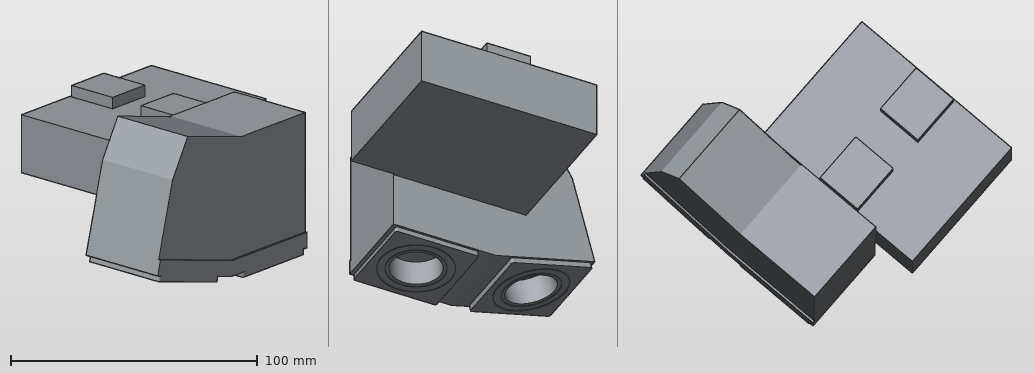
import cadquery as cq
import math

TILT = 15.0
HEAD_LEFT = 62.3
HEAD_RIGHT = 100.0
HEAD_REAR = 91.9
HEAD_BOTTOM = 2.7
HEAD_TOP = 60.6
NOSE_Z = 14.8
FRONT_BEND_Z = 53.2
PEAK_Y = 19.6
PEAK_Z = 69.4

SKIRT_HEIGHT = 6.7
SKIRT_RIGHT = 101.0

BLOCK_FRONT = 31.4
BLOCK_REAR = 111.4
BLOCK_BOTTOM = 27.5
BLOCK_TOP = 52.5
PLATE_THICKNESS = 0.5
PAD_LEFTS = (0.9, 38.5)
PAD_LENGTH = 22.2
PAD_WIDTH = 20.0
PAD_HEIGHT = 4.9
PAD_FRONT = 61.2

FOOT_SIZE = 37.8
CORNER_RADIUS = 1.0
RING_HEIGHT = 0.3
FOOT_HEIGHT = HEAD_BOTTOM - RING_HEIGHT
RING_DIAMETER = 32.0
RECESS_DIAMETER = 25.2
BORE_DIAMETER = 22.1
BORE_DEPTH = 11.1
REAR_FOOT_INSET = 1.7
FRONT_FOOT_INSET = 1.2

slope = math.tan(math.radians(TILT))
along = math.cos(math.radians(TILT))
across = math.sin(math.radians(TILT))
bend_y = (NOSE_Z - HEAD_BOTTOM) / slope
top_bend_y = PEAK_Y + (PEAK_Z - HEAD_TOP) / slope


def box(x0, x1, y0, y1, z0, z1):
    """Box between opposite corner coordinates."""
    return cq.Workplane("XY").box(x1 - x0, y1 - y0, z1 - z0, centered=False).translate((x0, y0, z0))


def side_prism(points, x0, x1):
    """Extrude a (Y, Z) outline from x0 to x1."""
    return cq.Workplane("YZ", origin=(x0, 0, 0)).polyline(points).close().extrude(x1 - x0)


def make_head():
    outline = [
        (HEAD_REAR, HEAD_BOTTOM),
        (bend_y, HEAD_BOTTOM),
        (0, NOSE_Z),
        ((FRONT_BEND_Z - NOSE_Z) * slope, FRONT_BEND_Z),
        (PEAK_Y, PEAK_Z),
        (top_bend_y, HEAD_TOP),
        (HEAD_REAR, HEAD_TOP),
    ]
    return side_prism(outline, HEAD_LEFT, HEAD_RIGHT)


def make_skirt():
    """Band of constant height that follows the bent underside."""
    skirt_top = HEAD_BOTTOM + SKIRT_HEIGHT
    outline = [
        (HEAD_REAR, HEAD_BOTTOM),
        (bend_y, HEAD_BOTTOM),
        (0, NOSE_Z),
        (SKIRT_HEIGHT * across, NOSE_Z + SKIRT_HEIGHT * along),
        (bend_y + SKIRT_HEIGHT * math.tan(math.radians(TILT / 2)), skirt_top),
        (HEAD_REAR, skirt_top),
    ]
    return side_prism(outline, HEAD_RIGHT, SKIRT_RIGHT)


def make_side_block():
    plate_left = HEAD_LEFT - PLATE_THICKNESS
    block = box(0, plate_left, BLOCK_FRONT, BLOCK_REAR, BLOCK_BOTTOM, BLOCK_TOP)
    plate = box(plate_left, HEAD_LEFT, BLOCK_FRONT, HEAD_REAR, BLOCK_BOTTOM, HEAD_TOP)
    block = block.union(plate)
    for left in PAD_LEFTS:
        pad = box(left, left + PAD_LENGTH, PAD_FRONT, PAD_FRONT + PAD_WIDTH,
                  BLOCK_TOP, BLOCK_TOP + PAD_HEIGHT)
        block = block.union(pad)
    return block


def add_foot(body, center_y, center_z, normal):
    """Add a foot at a point of the underside, facing along normal, and bore it."""
    center = (SKIRT_RIGHT - FOOT_SIZE / 2, center_y, center_z)
    plane = cq.Plane(origin=center, xDir=(1, 0, 0), normal=normal)
    foot = cq.Workplane(plane).rect(FOOT_SIZE, FOOT_SIZE).extrude(FOOT_HEIGHT)
    foot = foot.edges(cq.selectors.ParallelDirSelector(cq.Vector(*normal))).fillet(CORNER_RADIUS)
    face = cq.Workplane(plane).workplane(offset=FOOT_HEIGHT)
    ring = face.circle(RING_DIAMETER / 2).circle(RECESS_DIAMETER / 2).extrude(RING_HEIGHT)
    bore = face.circle(BORE_DIAMETER / 2).extrude(-BORE_DEPTH)
    return body.union(foot).union(ring).cut(bore)


result = make_head().union(make_skirt()).union(make_side_block())
result = add_foot(result, HEAD_REAR - REAR_FOOT_INSET - FOOT_SIZE / 2, HEAD_BOTTOM, (0, 0, -1))
front_distance = FRONT_FOOT_INSET + FOOT_SIZE / 2
result = add_foot(result, front_distance * along, NOSE_Z - front_distance * across, (0, -across, -along))